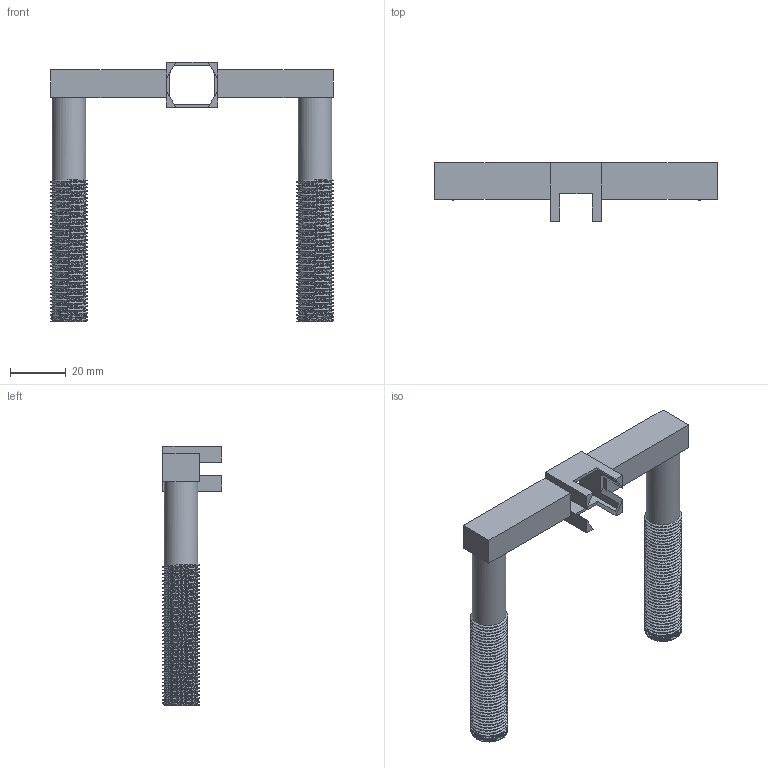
import cadquery as cq
import math

BAR_LENGTH = 101.0
BAR_DEPTH = 13.0
BAR_HEIGHT = 10.0

BLOCK_WIDTH = 18.3
BLOCK_DEPTH = 21.0
BLOCK_HEIGHT = 16.1
BLOCK_RISE = 2.6
WALL = 1.1
CORNER_WIDTH = 3.4
CORNER_HEIGHT = 5.7
RING_DEPTH = 11.0
LIP_THICKNESS = 1.0

OVERALL_HEIGHT = 92.7
ROD_RADIUS = 6.0
THREAD_PITCH = 1.25
FLANK_ANGLE = math.radians(30)
SHARP_V_HEIGHT = THREAD_PITCH / 2 / math.tan(FLANK_ANGLE)
THREAD_DEPTH = 5 / 8 * SHARP_V_HEIGHT
THREAD_RADIUS = ROD_RADIUS + THREAD_DEPTH
CREST_WIDTH = THREAD_PITCH / 8
THREAD_TURNS = 41
THREAD_TOP = 50.5
ROOT_OVERLAP = 0.1

BLOCK_TOP = OVERALL_HEIGHT
BAR_TOP = BLOCK_TOP - BLOCK_RISE
BAR_BOTTOM = BAR_TOP - BAR_HEIGHT
BLOCK_CENTRE_Z = BLOCK_TOP - BLOCK_HEIGHT / 2
BACK_Y = BAR_DEPTH / 2
LEG_X = (BAR_LENGTH - BAR_DEPTH) / 2


def block_at_back(width, depth, height, centre_z):
    """Box centred on X = 0 whose rear face lies in the common back plane."""
    return cq.Workplane("XY").box(width, depth, height).translate((0, BACK_Y - depth / 2, centre_z))


def make_tunnel():
    """Rectangular tunnel open at the back and closed off at the front by the lip."""
    width = BLOCK_WIDTH - 2 * WALL
    height = BLOCK_HEIGHT - 2 * WALL
    return block_at_back(width, BLOCK_DEPTH - LIP_THICKNESS, height, BLOCK_CENTRE_Z)


def make_front_opening():
    """Eight-sided cut that opens the lip and all four walls, leaving the corner prongs."""
    half_width = BLOCK_WIDTH / 2
    half_height = BLOCK_HEIGHT / 2
    inner_x = half_width - CORNER_WIDTH
    inner_z = half_height - CORNER_HEIGHT
    points = [
        (inner_x, half_height),
        (half_width, inner_z),
        (half_width, -inner_z),
        (inner_x, -half_height),
        (-inner_x, -half_height),
        (-half_width, -inner_z),
        (-half_width, inner_z),
        (-inner_x, half_height),
    ]
    return (
        cq.Workplane("XZ", origin=(0, BACK_Y - RING_DEPTH, BLOCK_CENTRE_Z))
        .polyline(points)
        .close()
        .extrude(BLOCK_DEPTH - RING_DEPTH)
    )


def make_crossbar():
    """Bar with the hollow clip block, whose corner prongs reach forward of the bar."""
    bar = block_at_back(BAR_LENGTH, BAR_DEPTH, BAR_HEIGHT, BAR_TOP - BAR_HEIGHT / 2)
    block = block_at_back(BLOCK_WIDTH, BLOCK_DEPTH, BLOCK_HEIGHT, BLOCK_CENTRE_Z)
    return bar.union(block).cut(make_tunnel()).cut(make_front_opening())


def make_thread():
    """Right-handed helical ridge with 60 degree flanks and a flat crest, trimmed flat at the foot."""
    length = THREAD_TURNS * THREAD_PITCH
    root_radius = ROD_RADIUS - ROOT_OVERLAP
    half_crest = CREST_WIDTH / 2
    half_root = half_crest + (THREAD_RADIUS - root_radius) * math.tan(FLANK_ANGLE)
    profile = [
        (root_radius, -half_root),
        (THREAD_RADIUS, -half_crest),
        (THREAD_RADIUS, half_crest),
        (root_radius, half_root),
    ]
    path = cq.Wire.makeHelix(THREAD_PITCH, length, ROD_RADIUS)
    ridge = (
        cq.Workplane("XZ")
        .polyline(profile)
        .close()
        .sweep(cq.Workplane(path), isFrenet=True)
        .translate((0, 0, THREAD_TOP - length))
    )
    trim_size = 4 * THREAD_RADIUS
    foot_trim = cq.Workplane("XY").rect(trim_size, trim_size).extrude(-2 * THREAD_PITCH)
    return ridge.cut(foot_trim)


def make_leg():
    """Round rod hanging from the bar, threaded over its lower part."""
    rod = cq.Workplane("XY").circle(ROD_RADIUS).extrude(BAR_BOTTOM)
    return rod.union(make_thread())


leg = make_leg()
result = make_crossbar()
for side in (-1, 1):
    result = result.union(leg.translate((side * LEG_X, 0, 0)))